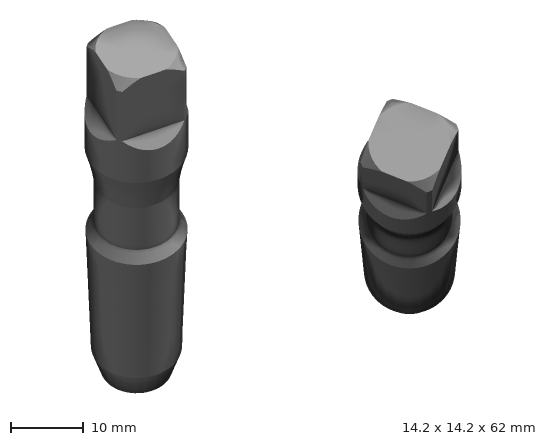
import cadquery as cq

total_length = 62.0

tip_radius = 4.95
plug_bottom_radius = 6.25
plug_top_radius = 7.0
tip_height = 4.3
plug_height = 27.05

neck_radius = 5.9
shank_radius = 7.1
neck_bottom = 28.8
neck_top = 37.1
flare_top = 43.1
flare_sag = 0.1

square_width = 10.65
square_base = 50.9
end_chamfer = 1.5


def make_plug():
    """Tapered plug whose flat upper face carries the shank."""
    return (
        cq.Workplane("XZ")
        .lineTo(tip_radius, 0)
        .lineTo(plug_bottom_radius, tip_height)
        .lineTo(plug_top_radius, plug_height)
        .lineTo(0, plug_height)
        .close()
        .revolve(360, (0, 0), (0, 1))
    )


def make_round_shank():
    """Round shank with a bowed flare above the neck and a chamfered end."""
    flare_middle = (
        (neck_radius + shank_radius) / 2 - flare_sag,
        (neck_top + flare_top) / 2,
    )
    return (
        cq.Workplane("XZ")
        .moveTo(0, plug_height)
        .lineTo(plug_top_radius, plug_height)
        .lineTo(neck_radius, neck_bottom)
        .lineTo(neck_radius, neck_top)
        .threePointArc(flare_middle, (shank_radius, flare_top))
        .lineTo(shank_radius, total_length - end_chamfer)
        .lineTo(shank_radius - end_chamfer, total_length)
        .lineTo(0, total_length)
        .close()
        .revolve(360, (0, 0), (0, 1))
    )


def make_flat_cutter():
    """Cutter for one drive flat on the +X side, with a 45 degree run-out below."""
    flat_offset = square_width / 2
    cut_depth = shank_radius
    return (
        cq.Workplane("XZ")
        .moveTo(flat_offset, total_length)
        .lineTo(flat_offset, square_base)
        .lineTo(flat_offset + cut_depth, square_base - cut_depth)
        .lineTo(flat_offset + cut_depth, total_length)
        .close()
        .extrude(shank_radius, both=True)
    )


def make_shank():
    """Shank with four flats forming the square drive."""
    body = make_round_shank()
    cutter = make_flat_cutter()
    for angle in (0, 90, 180, 270):
        body = body.cut(cutter.rotate((0, 0, 0), (0, 0, 1), angle))
    return body


plug = make_plug()
shank = make_shank()

result = cq.Compound.makeCompound([plug.val(), shank.val()])